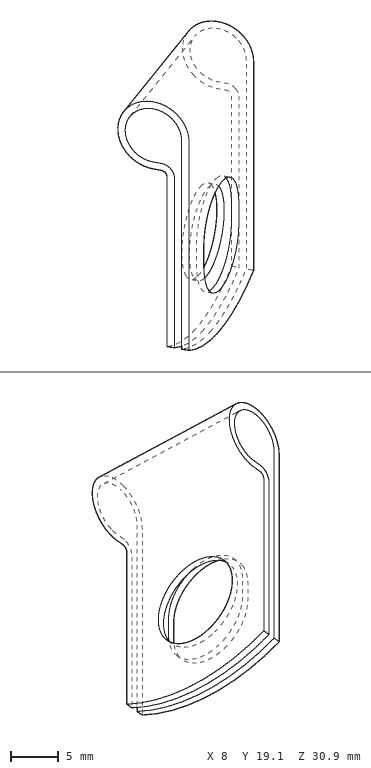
import cadquery as cq
import math

height = 30.95
width = 19.05
loop_diameter = 8.0
thickness = 0.85
leg_gap = 0.8
bend_inner_radius = 0.62
end_sag = 2.17
hole_diameter = 10.28
hole_height = 11.1
slot_straight = 2.3

loop_outer = loop_diameter / 2
loop_inner = loop_outer - thickness
loop_z = height - loop_outer
front_inner_x = loop_inner - leg_gap
front_outer_x = front_inner_x - thickness
bend_outer_radius = bend_inner_radius + thickness
bend_x = front_outer_x - bend_inner_radius
bend_z = loop_z - loop_outer - bend_inner_radius
gap_middle_x = loop_inner - leg_gap / 2
half_width = width / 2


def bend_middle(radius):
    """Point halfway round the bend between the loop and the front leg."""
    offset = radius * math.sqrt(0.5)
    return (bend_x + offset, bend_z + offset)


def bent_strip():
    """Strip rolled into a loop with two parallel legs, centred on Y = 0."""
    return (
        cq.Workplane("XZ")
        .moveTo(loop_outer, 0)
        .lineTo(loop_outer, loop_z)
        .threePointArc((0, height), (-loop_outer, loop_z))
        .radiusArc((0, loop_z - loop_outer), -loop_outer)
        .lineTo(bend_x, loop_z - loop_outer)
        .threePointArc(bend_middle(bend_inner_radius), (front_outer_x, bend_z))
        .lineTo(front_outer_x, 0)
        .lineTo(front_inner_x, 0)
        .lineTo(front_inner_x, bend_z)
        .threePointArc(bend_middle(bend_outer_radius), (bend_x, loop_z - loop_inner))
        .lineTo(0, loop_z - loop_inner)
        .radiusArc((-loop_inner, loop_z), loop_inner)
        .threePointArc((0, loop_z + loop_inner), (loop_inner, loop_z))
        .lineTo(loop_inner, 0)
        .close()
        .extrude(half_width, both=True)
    )


def side_outline():
    """Block whose lower end is rounded, used to trim both legs."""
    return (
        cq.Workplane("YZ")
        .moveTo(-half_width, height)
        .lineTo(-half_width, end_sag)
        .threePointArc((0, 0), (half_width, end_sag))
        .lineTo(half_width, height)
        .close()
        .extrude(loop_diameter, both=True)
    )


def front_hole():
    """Round hole through the front leg."""
    return (
        cq.Workplane("YZ", origin=(gap_middle_x, 0, hole_height))
        .circle(hole_diameter / 2)
        .extrude(-loop_diameter)
    )


def back_slot():
    """Upright slot through the back leg, as wide as the round hole."""
    return (
        cq.Workplane("YZ", origin=(gap_middle_x, 0, hole_height))
        .slot2D(hole_diameter + slot_straight, hole_diameter, 90)
        .extrude(loop_diameter)
    )


result = bent_strip().intersect(side_outline()).cut(front_hole()).cut(back_slot())